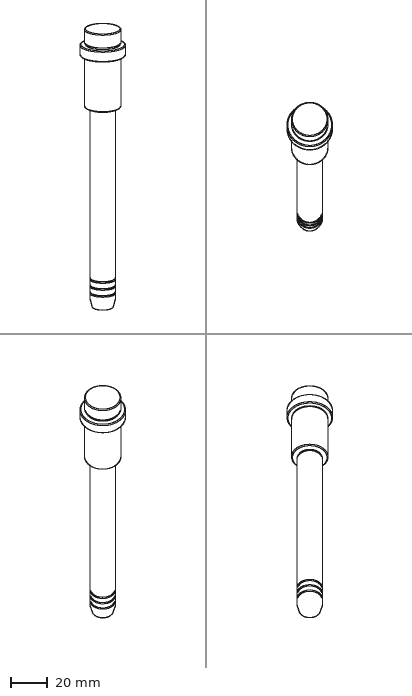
import cadquery as cq

total_height = 160.0
collar_radius = 25.0 / 2
body_radius = 20.0 / 2
pin_radius = 14.0 / 2

collar_top = total_height - 9.0
collar_bottom = total_height - 15.4
body_bottom = total_height - 45.0

edge_chamfer = 0.56
relief_width = 1.0
relief_depth = 0.5
under_relief_width = 0.6
under_relief_depth = 0.2

groove_width = 1.0
groove_depth = 0.5
groove_count = 3
groove_pitch = 4.0
first_groove_height = 8.5

taper_height = 5.0
tip_radius = 5.8
tip_fillet = 0.6


def cylinder(radius, bottom, top):
    """Solid cylinder on the Z axis between two heights."""
    return cq.Workplane("XY").workplane(offset=bottom).circle(radius).extrude(top - bottom)


def ring_groove(radius, depth, bottom, width):
    """Ring to cut from a shaft of the given radius."""
    outer = cylinder(radius + depth, bottom, bottom + width)
    return outer.cut(cylinder(radius - depth, bottom, bottom + width))


def vee_groove(center_height):
    """Triangular ring to cut a V-shaped groove around the pin."""
    half_width = groove_width / 2
    profile = cq.Workplane("XZ").polyline([
        (pin_radius, center_height - half_width),
        (pin_radius - groove_depth, center_height),
        (pin_radius, center_height + half_width),
    ]).close()
    return profile.revolve(360, (0, 0, 0), (0, 1, 0))


def make_head():
    """Head and body, with relief grooves on both sides of the collar."""
    shaft = cylinder(body_radius, body_bottom, total_height).edges().chamfer(edge_chamfer)
    shaft = shaft.cut(ring_groove(body_radius, relief_depth, collar_top, relief_width))
    under_relief_bottom = collar_bottom - under_relief_width
    shaft = shaft.cut(
        ring_groove(body_radius, under_relief_depth, under_relief_bottom, under_relief_width)
    )
    collar = cylinder(collar_radius, collar_bottom, collar_top).edges().chamfer(edge_chamfer)
    return shaft.union(collar)


def make_pin():
    """Long pin with a tapered tip, ring grooves and a relief below the body."""
    profile = (
        cq.Workplane("XZ")
        .moveTo(0, 0)
        .lineTo(tip_radius, 0)
        .lineTo(pin_radius, taper_height)
        .lineTo(pin_radius, body_bottom)
        .lineTo(0, body_bottom)
        .close()
    )
    pin = profile.revolve(360, (0, 0, 0), (0, 1, 0))
    pin = pin.faces("<Z").edges().fillet(tip_fillet)
    for index in range(groove_count):
        pin = pin.cut(vee_groove(first_groove_height + index * groove_pitch))
    return pin.cut(ring_groove(pin_radius, relief_depth, body_bottom - relief_width, relief_width))


result = make_head().union(make_pin())